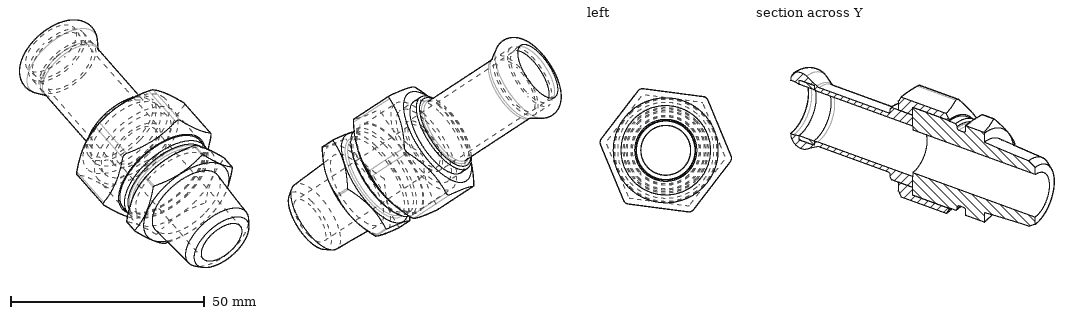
import cadquery as cq
import math

HEX_TURN = 7.5
CHAMFER_SLOPE = math.radians(60)

ARC_MID_OFFSET = 1 - math.sqrt(0.5)

TUBE_RADIUS = 9.0
TUBE_BORE_RADIUS = 7.55
TUBE_END = 38.5
BEAD_RADIUS = 11.55
BEAD_ROUND = 3.5
BEAD_SLOPE = math.radians(30)
BEAD_BLEND = 1.5
BEAD_BLEND_END = 9.1
MOUTH_RADIUS = 8.0
MOUTH_DEPTH = 1.1

COLLAR_START = 31.3
COLLAR_RADIUS = 11.0
COLLAR_FILLET = 0.5

SHOULDER_CHAMFER_LENGTH = 0.5
SHOULDER_CHAMFER_DEPTH = 0.8

SEAL_START = 2.7
SEAL_END = 7.4
SEAL_RADIUS = 7.7
SEAL_OUTER_RADIUS = 8.9
BORE_CONE_END = 8.6

NUT_START = 33.9
NUT_END = 50.0
NUT_FLATS = 30.0
NUT_CORNER_ROUND = 1.55
NUT_FACE_RADIUS = 13.55

FLANGE_RADIUS = 13.2
FLANGE_END = 52.5
NECK_RADIUS = 11.5
NECK_FILLET = 0.5
HEX_START = 55.0
HEX_END = 61.05
HEX_FLATS = 26.95
HEX_CORNER_ROUND = 0.4
HEX_FACE_RADIUS = 13.4
TAPER_START_RADIUS = 10.7
TAPER_END_RADIUS = 9.9
TAPER_END = 75.0
ADAPTER_END = 77.0
ADAPTER_END_RADIUS = 8.6
ADAPTER_BORE_RADIUS = 6.4


def revolve_about_x(outline):
    """Close an outline of (x, radius) points and turn it about the X axis."""
    return outline.close().revolve(360, (0, 0, 0), (1, 0, 0))


def cylinder(start, end, radius):
    return cq.Workplane("YZ").workplane(offset=start).circle(radius).extrude(end - start)


def hexagon(start, end, flats, corner_round, face_radius):
    """Hexagonal prism along X with rounded corners and cone-chamfered ends."""
    corner_radius = flats / math.sqrt(3)
    prism = (
        cq.Workplane("YZ").workplane(offset=start)
        .polygon(6, 2 * corner_radius).extrude(end - start)
        .edges("|X").fillet(corner_round)
        .rotate((0, 0, 0), (1, 0, 0), HEX_TURN)
    )
    chamfer_length = (corner_radius - face_radius) / math.tan(CHAMFER_SLOPE)
    envelope = revolve_about_x(
        cq.Workplane("XY").moveTo(start, 0)
        .lineTo(start, face_radius)
        .lineTo(start + chamfer_length, corner_radius)
        .lineTo(end - chamfer_length, corner_radius)
        .lineTo(end, face_radius)
        .lineTo(end, 0)
    )
    return prism.intersect(envelope)


def make_tube():
    sin_slope = math.sin(BEAD_SLOPE)
    cos_slope = math.cos(BEAD_SLOPE)
    centre_radius = BEAD_RADIUS - BEAD_ROUND
    blend_start = BEAD_BLEND_END - BEAD_BLEND * sin_slope
    blend_start_radius = TUBE_RADIUS + BEAD_BLEND * (1 - cos_slope)
    blend_mid = (
        BEAD_BLEND_END - BEAD_BLEND * math.sin(BEAD_SLOPE / 2),
        TUBE_RADIUS + BEAD_BLEND * (1 - math.cos(BEAD_SLOPE / 2)),
    )
    cone_start_radius = centre_radius + BEAD_ROUND * cos_slope
    cone_start = blend_start - (cone_start_radius - blend_start_radius) / math.tan(BEAD_SLOPE)
    collar_fillet_mid = COLLAR_FILLET * ARC_MID_OFFSET
    bead_centre = cone_start - BEAD_ROUND * sin_slope
    return revolve_about_x(
        cq.Workplane("XY").moveTo(0, MOUTH_RADIUS)
        .threePointArc((bead_centre, BEAD_RADIUS), (cone_start, cone_start_radius))
        .lineTo(blend_start, blend_start_radius)
        .threePointArc(blend_mid, (BEAD_BLEND_END, TUBE_RADIUS))
        .lineTo(COLLAR_START - COLLAR_FILLET, TUBE_RADIUS)
        .threePointArc(
            (COLLAR_START - collar_fillet_mid, TUBE_RADIUS + collar_fillet_mid),
            (COLLAR_START, TUBE_RADIUS + COLLAR_FILLET),
        )
        .lineTo(COLLAR_START, COLLAR_RADIUS - SHOULDER_CHAMFER_DEPTH)
        .lineTo(COLLAR_START + SHOULDER_CHAMFER_LENGTH, COLLAR_RADIUS)
        .lineTo(TUBE_END, COLLAR_RADIUS)
        .lineTo(TUBE_END, TUBE_BORE_RADIUS)
        .lineTo(BORE_CONE_END, TUBE_BORE_RADIUS)
        .lineTo(SEAL_END, SEAL_RADIUS)
        .lineTo(SEAL_END, SEAL_OUTER_RADIUS)
        .lineTo(SEAL_START, SEAL_OUTER_RADIUS)
        .lineTo(SEAL_START, SEAL_RADIUS)
        .lineTo(MOUTH_DEPTH, MOUTH_RADIUS)
    )


def make_seal():
    disc = cylinder(SEAL_START, SEAL_END, SEAL_OUTER_RADIUS)
    return disc.cut(cylinder(SEAL_START, SEAL_END, SEAL_RADIUS))


def make_nut():
    body = hexagon(NUT_START, NUT_END, NUT_FLATS, NUT_CORNER_ROUND, NUT_FACE_RADIUS)
    collar_hole = cylinder(NUT_START, TUBE_END, COLLAR_RADIUS)
    adapter_hole = cylinder(TUBE_END, NUT_END, FLANGE_RADIUS)
    return body.cut(collar_hole).cut(adapter_hole)


def make_adapter():
    neck_fillet_mid = NECK_FILLET * ARC_MID_OFFSET
    flange_and_neck = revolve_about_x(
        cq.Workplane("XY").moveTo(TUBE_END, 0)
        .lineTo(TUBE_END, FLANGE_RADIUS)
        .lineTo(FLANGE_END - SHOULDER_CHAMFER_LENGTH, FLANGE_RADIUS)
        .lineTo(FLANGE_END, FLANGE_RADIUS - SHOULDER_CHAMFER_DEPTH)
        .lineTo(FLANGE_END, NECK_RADIUS + NECK_FILLET)
        .threePointArc(
            (FLANGE_END + neck_fillet_mid, NECK_RADIUS + neck_fillet_mid),
            (FLANGE_END + NECK_FILLET, NECK_RADIUS),
        )
        .lineTo(HEX_START - NECK_FILLET, NECK_RADIUS)
        .threePointArc(
            (HEX_START - neck_fillet_mid, NECK_RADIUS + neck_fillet_mid),
            (HEX_START, NECK_RADIUS + NECK_FILLET),
        )
        .lineTo(HEX_START, 0)
    )
    wrench_hex = hexagon(HEX_START, HEX_END, HEX_FLATS, HEX_CORNER_ROUND, HEX_FACE_RADIUS)
    tapered_end = revolve_about_x(
        cq.Workplane("XY").moveTo(HEX_END, 0)
        .lineTo(HEX_END, TAPER_START_RADIUS)
        .lineTo(TAPER_END, TAPER_END_RADIUS)
        .lineTo(ADAPTER_END, ADAPTER_END_RADIUS)
        .lineTo(ADAPTER_END, 0)
    )
    body = flange_and_neck.union(wrench_hex).union(tapered_end)
    return body.cut(cylinder(TUBE_END, ADAPTER_END, ADAPTER_BORE_RADIUS))


tube = make_tube()
seal = make_seal()
nut = make_nut()
adapter = make_adapter()

result = cq.Compound.makeCompound([tube.val(), seal.val(), nut.val(), adapter.val()])